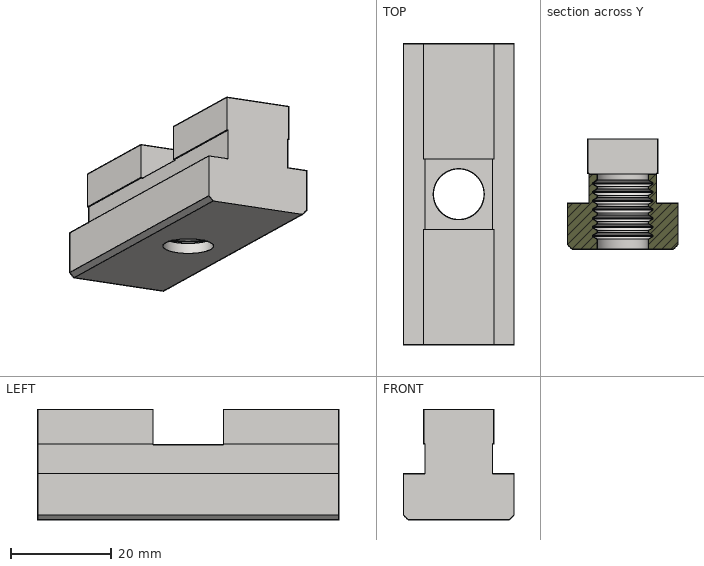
import cadquery as cq
import math

length = 60.0
base_width = 22.0
total_height = 22.0
base_height = 9.25
base_chamfer = 0.95
neck_width = 13.5
head_width = 14.0
head_bottom = 15.2

slot_length = 14.0
slot_floor = 15.0

minor_diameter = 10.1
major_diameter = 12.0
pitch = 1.75
groove_count = 7
top_land = 1.2
flank_angle = math.radians(30)
crest_width = pitch / 4
groove_opening = pitch - crest_width
flank_rise = (major_diameter - minor_diameter) / 2 * math.tan(flank_angle)


def make_body():
    """T-shaped section, symmetric about the YZ plane, extruded along Y."""
    half_section = [
        (0, 0),
        (base_width / 2 - base_chamfer, 0),
        (base_width / 2, base_chamfer),
        (base_width / 2, base_height),
        (neck_width / 2, base_height),
        (neck_width / 2, head_bottom),
        (head_width / 2, head_bottom),
        (head_width / 2, total_height),
        (0, total_height),
    ]
    return cq.Workplane("XZ").polyline(half_section).mirrorY().extrude(length / 2, both=True)


def make_slot():
    """Block that splits the head into two."""
    slot_depth = total_height - slot_floor
    return (
        cq.Workplane("XY", origin=(0, 0, slot_floor))
        .rect(base_width, slot_length)
        .extrude(slot_depth)
    )


def make_threaded_hole():
    """Plain bore with V-shaped ring grooves, as one profile turned about Z."""
    minor_radius = minor_diameter / 2
    major_radius = major_diameter / 2
    profile = [(0, slot_floor), (minor_radius, slot_floor)]
    for index in range(groove_count):
        groove_top = slot_floor - top_land - index * pitch
        groove_bottom = groove_top - groove_opening
        profile += [
            (minor_radius, groove_top),
            (major_radius, groove_top - flank_rise),
            (major_radius, groove_bottom + flank_rise),
            (minor_radius, groove_bottom),
        ]
    profile += [(minor_radius, 0), (0, 0)]
    return cq.Workplane("XZ").polyline(profile).close().revolve(360, (0, 0, 0), (0, 1, 0))


result = make_body().cut(make_slot()).cut(make_threaded_hole())